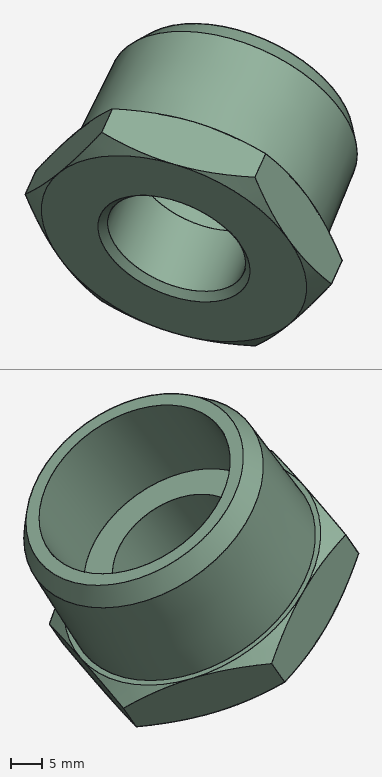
import cadquery as cq
import math

across_flats = 45.0
head_length = 9.0
total_length = 31.0
head_chamfer_angle = math.radians(30)

taper_ratio = 1 / 16
tip_diameter = 42.0
tip_chamfer_radial = 1.95
tip_chamfer_angle = math.radians(30)

bore_diameter = 23.4
bore_mouth_diameter = 25.8
bore_mouth_angle = math.radians(45)
rear_bore_diameter = 33.5
bore_length = 14.0

across_corners = across_flats / math.cos(math.radians(30))
tip_chamfer_length = tip_chamfer_radial / math.tan(tip_chamfer_angle)
taper_length = total_length - head_length - tip_chamfer_length
root_diameter = tip_diameter + taper_ratio * taper_length


def revolve_profile(points):
    """Revolve a closed (radius, y) outline about the Y axis."""
    return cq.Workplane("XY").polyline(points).close().revolve(360, (0, 0, 0), (0, 1, 0))


def make_head():
    """Hexagon with corners on the X axis, both ends turned down to the across-flats circle."""
    hexagon = cq.Workplane("XZ").polygon(6, across_corners).extrude(-head_length)
    flat_radius = across_flats / 2
    corner_radius = across_corners / 2
    chamfer_length = (corner_radius - flat_radius) * math.tan(head_chamfer_angle)
    envelope = revolve_profile([
        (0, 0),
        (flat_radius, 0),
        (corner_radius, chamfer_length),
        (corner_radius, head_length - chamfer_length),
        (flat_radius, head_length),
        (0, head_length),
    ])
    return hexagon.intersect(envelope)


def make_spigot():
    """Tapered spigot, solid through the head, with a chamfered tip."""
    tip_radius = tip_diameter / 2
    return revolve_profile([
        (0, head_length),
        (root_diameter / 2, head_length),
        (tip_radius, head_length + taper_length),
        (tip_radius - tip_chamfer_radial, total_length),
        (0, total_length),
    ])


def make_bore():
    """Through bore with a countersunk mouth in the head and a wider rear bore."""
    bore_radius = bore_diameter / 2
    mouth_radius = bore_mouth_diameter / 2
    mouth_depth = (mouth_radius - bore_radius) / math.tan(bore_mouth_angle)
    rear_radius = rear_bore_diameter / 2
    return revolve_profile([
        (0, 0),
        (mouth_radius, 0),
        (bore_radius, mouth_depth),
        (bore_radius, bore_length),
        (rear_radius, bore_length),
        (rear_radius, total_length),
        (0, total_length),
    ])


result = make_head().union(make_spigot()).cut(make_bore())